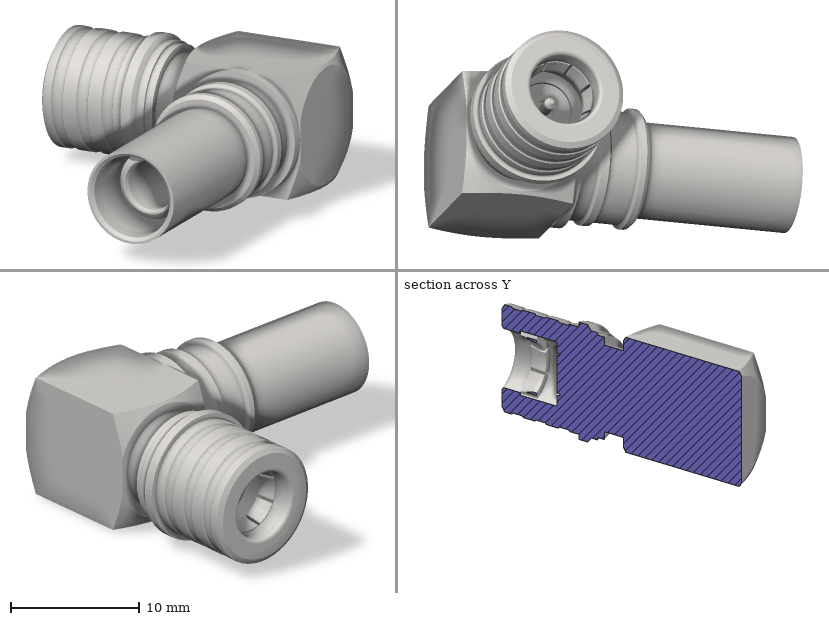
import cadquery as cq
import math


OVERALL_LENGTH = 28.95
CLEARANCE = 0.3

BLOCK_LEFT = -6.08
BLOCK_RIGHT = 5.12
BLOCK_DEPTH = 9.03
BLOCK_HEIGHT = 10.05
BLOCK_END_RADIUS = 4.78
BLOCK_END_ANGLE = 30

MOUTH_X = -17.57
GRIP_RADIUS = 4.83
MOUTH_CHAMFER_LENGTH = 0.25
MOUTH_CHAMFER_DEPTH = 0.43
GROOVE_DEPTH = 0.12
GROOVE_BEVEL = 0.1
GROOVE_WIDTH = 1.05
GROOVE_PITCH = 2.2
GROOVE_COUNT = 3
FIRST_GROOVE_X = -16.62
COLLAR_START_X = -10.28
COLLAR_BEVEL_X = -9.45
COLLAR_END_X = -9.12
COLLAR_RADIUS = 10.5 / 2
SHOULDER_X = -8.48
SHOULDER_RADIUS = 4.63
NECK_X = -7.85
NECK_RADIUS = 3.97

MOUTH_FILLET = 0.32
SOCKET_RADIUS = 2.8
SOCKET_DEPTH = 5.2
FINGER_START_DEPTH = 1.8
FINGER_LIP_DEPTH = 2.95
FINGER_END_DEPTH = 3.33
FINGER_START_RADIUS = 2.72
FINGER_LIP_RADIUS = 2.45
FINGER_ROOT_RADIUS = 3.0
SLOT_COUNT = 8
SLOT_WIDTH = 0.25
INSULATOR_RADIUS = 2.03
INSULATOR_GAP = 0.12
INSULATOR_GAP_DEPTH = 0.3
PIN_RADIUS = 0.45
PIN_TIP_RADIUS = 0.15
PIN_TIP_LENGTH = 0.43
PIN_TIP_DEPTH = 3.47
PIN_HOLE_RADIUS = 0.67

FLANGE_RADIUS = 5.12
FLANGE_END_Y = -5.45
BARREL_RADIUS = 4.43
RIB_RADIUS = 4.75
RIB_BEVEL = 0.2
FIRST_RIB_Y = -6.83
FIRST_RIB_WIDTH = 1.05
SECOND_RIB_Y = -10.02
END_BEVEL = 0.32
BARREL_END_Y = -11

STEM_RADIUS = 2.78
STEM_TIP_RADIUS = 2.25
STEM_END_Y = -20.5
STEM_BORE_RADIUS = 1.97
STEM_FLARE_DEPTH = 0.15
STEM_FLARE_LENGTH = 0.35

FERRULE_RADIUS = 7.55 / 2
FERRULE_BORE_RADIUS = 3.3
FERRULE_CHAMFER = 0.25
FERRULE_END_Y = COLLAR_RADIUS - OVERALL_LENGTH


def turned_on_x(points):
    """Solid of revolution about X from (x, radius) corners."""
    return cq.Workplane("XY").polyline(points).close().revolve(360, (0, 0, 0), (1, 0, 0))


def turned_on_y(points):
    """Solid of revolution about Y from (radius, y) corners."""
    return cq.Workplane("XY").polyline(points).close().revolve(360, (0, 0, 0), (0, 1, 0))


def elbow_block():
    """Rectangular block with both X ends turned to a cone."""
    length = BLOCK_RIGHT - BLOCK_LEFT
    middle_x = (BLOCK_LEFT + BLOCK_RIGHT) / 2
    block = cq.Workplane("XY").box(length, BLOCK_DEPTH, BLOCK_HEIGHT).translate((middle_x, 0, 0))
    corner_radius = math.hypot(BLOCK_DEPTH, BLOCK_HEIGHT) / 2 + CLEARANCE
    cone_length = (corner_radius - BLOCK_END_RADIUS) * math.tan(math.radians(BLOCK_END_ANGLE))
    envelope = turned_on_x([
        (BLOCK_LEFT, 0),
        (BLOCK_LEFT, BLOCK_END_RADIUS),
        (BLOCK_LEFT + cone_length, corner_radius),
        (BLOCK_RIGHT - cone_length, corner_radius),
        (BLOCK_RIGHT, BLOCK_END_RADIUS),
        (BLOCK_RIGHT, 0),
    ])
    return block.intersect(envelope)


def coupling_outside():
    """Grooved grip, collar, shoulder and neck of the coupling, without its socket."""
    points = [
        (MOUTH_X, 0),
        (MOUTH_X, GRIP_RADIUS - MOUTH_CHAMFER_DEPTH),
        (MOUTH_X + MOUTH_CHAMFER_LENGTH, GRIP_RADIUS),
    ]
    for i in range(GROOVE_COUNT):
        start = FIRST_GROOVE_X + i * GROOVE_PITCH
        end = start + GROOVE_WIDTH
        points += [
            (start, GRIP_RADIUS),
            (start + GROOVE_BEVEL, GRIP_RADIUS - GROOVE_DEPTH),
            (end - GROOVE_BEVEL, GRIP_RADIUS - GROOVE_DEPTH),
            (end, GRIP_RADIUS),
        ]
    points += [
        (COLLAR_START_X, GRIP_RADIUS),
        (COLLAR_START_X, COLLAR_RADIUS),
        (COLLAR_BEVEL_X, COLLAR_RADIUS),
        (COLLAR_END_X, GRIP_RADIUS),
        (SHOULDER_X, GRIP_RADIUS),
        (SHOULDER_X, SHOULDER_RADIUS),
        (NECK_X, SHOULDER_RADIUS),
        (NECK_X, NECK_RADIUS),
        (0, NECK_RADIUS),
        (0, 0),
    ]
    return turned_on_x(points)


def socket_cut():
    """Space inside the coupling: rounded mouth, finger ring and the room around the insulator and pin."""
    floor_x = MOUTH_X + SOCKET_DEPTH
    gap_x = floor_x + INSULATOR_GAP_DEPTH
    pin_tip_x = MOUTH_X + PIN_TIP_DEPTH
    lip_end_x = MOUTH_X + FINGER_END_DEPTH
    mouth_radius = SOCKET_RADIUS + MOUTH_FILLET
    arc_offset = MOUTH_FILLET * (1 - math.sqrt(0.5))
    outline = (
        cq.Workplane("XY")
        .moveTo(MOUTH_X, 0)
        .lineTo(MOUTH_X, mouth_radius)
        .threePointArc(
            (MOUTH_X + arc_offset, SOCKET_RADIUS + arc_offset),
            (MOUTH_X + MOUTH_FILLET, SOCKET_RADIUS),
        )
        .lineTo(MOUTH_X + FINGER_START_DEPTH, SOCKET_RADIUS)
        .lineTo(MOUTH_X + FINGER_START_DEPTH, FINGER_START_RADIUS)
        .lineTo(MOUTH_X + FINGER_LIP_DEPTH, FINGER_LIP_RADIUS)
        .lineTo(lip_end_x, FINGER_LIP_RADIUS)
        .lineTo(lip_end_x, FINGER_ROOT_RADIUS)
        .lineTo(floor_x, FINGER_ROOT_RADIUS)
        .lineTo(floor_x, INSULATOR_RADIUS + INSULATOR_GAP)
        .lineTo(gap_x, INSULATOR_RADIUS + INSULATOR_GAP)
        .lineTo(gap_x, INSULATOR_RADIUS)
        .lineTo(floor_x, INSULATOR_RADIUS)
        .lineTo(floor_x, PIN_HOLE_RADIUS)
        .lineTo(gap_x, PIN_HOLE_RADIUS)
        .lineTo(gap_x, PIN_RADIUS)
        .lineTo(pin_tip_x + PIN_TIP_LENGTH, PIN_RADIUS)
        .lineTo(pin_tip_x, PIN_TIP_RADIUS)
        .lineTo(pin_tip_x, 0)
        .close()
    )
    return outline.revolve(360, (0, 0, 0), (1, 0, 0))


def finger_slots():
    """Radial cuts that split the finger ring into separate fingers."""
    length = FINGER_END_DEPTH - FINGER_START_DEPTH
    middle_x = MOUTH_X + FINGER_START_DEPTH + length / 2
    inner_radius = FINGER_LIP_RADIUS - CLEARANCE
    blade = (
        cq.Workplane("XY")
        .box(length, SLOT_WIDTH, FINGER_ROOT_RADIUS - inner_radius)
        .translate((middle_x, 0, (FINGER_ROOT_RADIUS + inner_radius) / 2))
    )
    slots = cq.Workplane("XY")
    step = 360 / SLOT_COUNT
    for i in range(SLOT_COUNT):
        slots = slots.add(blade.rotate((0, 0, 0), (1, 0, 0), (i + 0.5) * step))
    return slots.combine()


def cable_boss():
    """Flange, ribbed barrel and crimp stem on the cable axis."""
    block_face_y = -BLOCK_DEPTH / 2
    first_rib_end = FIRST_RIB_Y - FIRST_RIB_WIDTH
    stem_taper = STEM_RADIUS - STEM_TIP_RADIUS
    return turned_on_y([
        (0, block_face_y),
        (FLANGE_RADIUS, block_face_y),
        (FLANGE_RADIUS, FLANGE_END_Y),
        (BARREL_RADIUS, FLANGE_END_Y),
        (BARREL_RADIUS, FIRST_RIB_Y),
        (RIB_RADIUS, FIRST_RIB_Y - RIB_BEVEL),
        (RIB_RADIUS, first_rib_end + RIB_BEVEL),
        (BARREL_RADIUS, first_rib_end),
        (BARREL_RADIUS, SECOND_RIB_Y),
        (RIB_RADIUS, SECOND_RIB_Y - RIB_BEVEL),
        (RIB_RADIUS, BARREL_END_Y + END_BEVEL),
        (RIB_RADIUS - END_BEVEL, BARREL_END_Y),
        (STEM_RADIUS, BARREL_END_Y),
        (STEM_RADIUS, STEM_END_Y + stem_taper),
        (STEM_TIP_RADIUS, STEM_END_Y),
        (STEM_BORE_RADIUS + STEM_FLARE_DEPTH, STEM_END_Y),
        (STEM_BORE_RADIUS, STEM_END_Y + STEM_FLARE_LENGTH),
        (STEM_BORE_RADIUS, BARREL_END_Y),
        (0, BARREL_END_Y),
    ])


def connector_body():
    """Coupling, elbow and cable boss as one solid, with the socket cut into the coupling."""
    body = coupling_outside().union(elbow_block()).union(cable_boss())
    return body.cut(socket_cut()).cut(finger_slots())


def crimp_ferrule():
    """Plain tube against the barrel end, chamfered inside at its open end."""
    return turned_on_y([
        (FERRULE_BORE_RADIUS, BARREL_END_Y),
        (FERRULE_RADIUS, BARREL_END_Y),
        (FERRULE_RADIUS, FERRULE_END_Y),
        (FERRULE_BORE_RADIUS + FERRULE_CHAMFER, FERRULE_END_Y),
        (FERRULE_BORE_RADIUS, FERRULE_END_Y + FERRULE_CHAMFER),
    ])


connector = connector_body()
ferrule = crimp_ferrule()
result = cq.Compound.makeCompound([connector.val(), ferrule.val()])